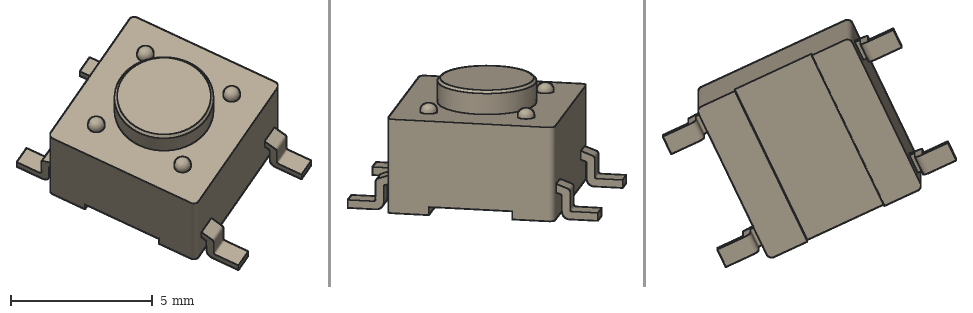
import cadquery as cq
import math

body_side = 6.0
body_height = 3.44
corner_radius = 0.2

channel_width = 3.0
channel_depth = 0.3

button_diameter = 3.5
total_height = 4.3
button_chamfer = 0.1

pin_diameter = 0.6
pin_height = 0.31
pin_rounding = 0.25
pin_offset = button_diameter / 2

lead_span = 9
lead_thickness = 0.3
lead_width = 0.7
lead_center_y = 2.25
foot_length = 1.0
lead_entry_top = 1.28
lead_slope = math.radians(20)
lead_embed = 0.18
foot_inner_radius = 0.07
foot_outer_radius = 0.27
shoulder_inner_radius = 0.07
shoulder_outer_radius = 0.135


def make_body():
    """Block with rounded upright corners and a channel along Y in its underside."""
    block = (
        cq.Workplane("XY")
        .rect(body_side, body_side)
        .extrude(body_height)
        .edges("|Z")
        .fillet(corner_radius)
    )
    channel = cq.Workplane("XY").box(
        channel_width, body_side, channel_depth, centered=(True, True, False)
    )
    return block.cut(channel)


def make_button():
    return (
        cq.Workplane("XY")
        .workplane(offset=body_height)
        .circle(button_diameter / 2)
        .extrude(total_height - body_height)
        .faces(">Z")
        .chamfer(button_chamfer)
    )


def make_pins():
    """Four pins with rounded tops that leave a small flat."""
    return (
        cq.Workplane("XY")
        .workplane(offset=body_height)
        .rect(2 * pin_offset, 2 * pin_offset, forConstruction=True)
        .vertices()
        .circle(pin_diameter / 2)
        .extrude(pin_height)
        .faces(">Z")
        .edges()
        .fillet(pin_rounding)
    )


def make_lead(center_y):
    """Lead on the -X side: flat foot, upright leg and a shoulder sloping up into the housing."""
    tip_x = -lead_span / 2
    leg_outer_x = tip_x + foot_length
    leg_inner_x = leg_outer_x + lead_thickness
    face_x = -body_side / 2
    root_x = face_x + lead_embed
    rise = math.tan(lead_slope)
    shoulder_drop = lead_thickness / math.cos(lead_slope)

    def shoulder_top(x):
        return lead_entry_top + (x - face_x) * rise

    def shoulder_bottom(x):
        return shoulder_top(x) - shoulder_drop

    profile = [
        (tip_x, 0),
        (leg_inner_x, 0),
        (leg_inner_x, shoulder_bottom(leg_inner_x)),
        (root_x, shoulder_bottom(root_x)),
        (root_x, shoulder_top(root_x)),
        (leg_outer_x, shoulder_top(leg_outer_x)),
        (leg_outer_x, lead_thickness),
        (tip_x, lead_thickness),
    ]
    lead = (
        cq.Workplane("XZ", origin=(0, center_y, 0))
        .polyline(profile)
        .close()
        .extrude(lead_width / 2, both=True)
    )

    def bend_edge(x, z):
        return cq.selectors.NearestToPointSelector((x, center_y, z))

    bends = [
        (leg_inner_x, 0, foot_outer_radius),
        (leg_outer_x, lead_thickness, foot_inner_radius),
        (leg_inner_x, shoulder_bottom(leg_inner_x), shoulder_inner_radius),
        (leg_outer_x, shoulder_top(leg_outer_x), shoulder_outer_radius),
    ]
    for x, z, radius in bends:
        lead = lead.edges("|Y").edges(bend_edge(x, z)).fillet(radius)
    return lead


result = make_body().union(make_button()).union(make_pins())
for center_y in (-lead_center_y, lead_center_y):
    left_lead = make_lead(center_y)
    result = result.union(left_lead).union(left_lead.mirror("YZ"))